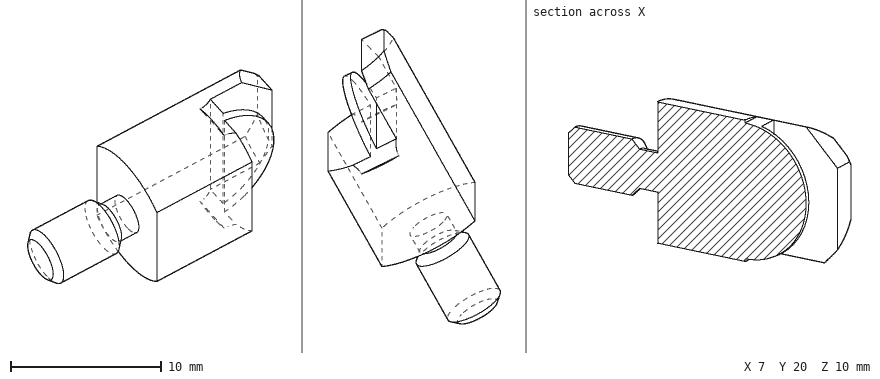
import cadquery as cq

body_radius = 5.0
body_width = 7.0
body_length = 13.0
end_chamfer = 1.0

jaw_inner_x = -1.8
tongue_thickness = 0.6
slot_floor_y = 8.0
step_y = 7.7

round_radius = 4.8
round_center_y = 6.9

bevel_start_z = 2.2

stud_radius = 2.0
stud_length = 7.0
stud_tip_chamfer = 0.5
neck_radius = 1.4
neck_length = 1.4

half_width = body_width / 2


def block(x_range, y_range, z_range):
    """Box spanning the given (low, high) ranges."""
    sizes = [high - low for low, high in (x_range, y_range, z_range)]
    corner = (x_range[0], y_range[0], z_range[0])
    return cq.Workplane("XY").box(*sizes, centered=False).translate(corner)


def revolve_about_y(profile):
    """Solid of revolution from (radius, y) points about the Y axis."""
    return cq.Workplane("XY").polyline(profile).close().revolve(360, (0, 0, 0), (0, 1, 0))


def full_height_block(x_range, y_range):
    """Box through the whole height of the body."""
    return block(x_range, y_range, (-body_radius, body_radius))


def make_body():
    bar = revolve_about_y([
        (0, 0),
        (body_radius, 0),
        (body_radius, body_length - end_chamfer),
        (body_radius - end_chamfer, body_length),
        (0, body_length),
    ])
    return bar.intersect(full_height_block((-half_width, half_width), (0, body_length)))


def cut_slot_and_step(body):
    slot = full_height_block((jaw_inner_x, -tongue_thickness / 2), (slot_floor_y, body_length))
    step = full_height_block((tongue_thickness / 2, half_width), (step_y, body_length))
    return body.cut(slot).cut(step)


def round_tongue_end(body):
    """Trim everything beside the jaw to a cylinder about an X axis."""
    waste = full_height_block((jaw_inner_x, half_width), (round_center_y, body_length))
    cylinder = (
        cq.Workplane("YZ", origin=(jaw_inner_x, 0, 0))
        .center(round_center_y, 0)
        .circle(round_radius)
        .extrude(half_width - jaw_inner_x)
    )
    return body.cut(waste.cut(cylinder))


def bevel_jaw(body):
    bevel_size = body_radius - bevel_start_z
    wedge = (
        cq.Workplane("YZ", origin=(-half_width, 0, 0))
        .polyline([
            (body_length, bevel_start_z),
            (body_length, body_radius),
            (body_length - bevel_size, body_radius),
        ])
        .close()
        .extrude(half_width + jaw_inner_x)
    )
    return body.cut(wedge)


def make_stud():
    neck_taper = stud_radius - neck_radius
    return revolve_about_y([
        (0, 0),
        (neck_radius, 0),
        (neck_radius, -neck_length),
        (stud_radius, -neck_length - neck_taper),
        (stud_radius, -stud_length + stud_tip_chamfer),
        (stud_radius - stud_tip_chamfer, -stud_length),
        (0, -stud_length),
    ])


body = make_body()
body = cut_slot_and_step(body)
body = round_tongue_end(body)
body = bevel_jaw(body)

result = body.union(make_stud())